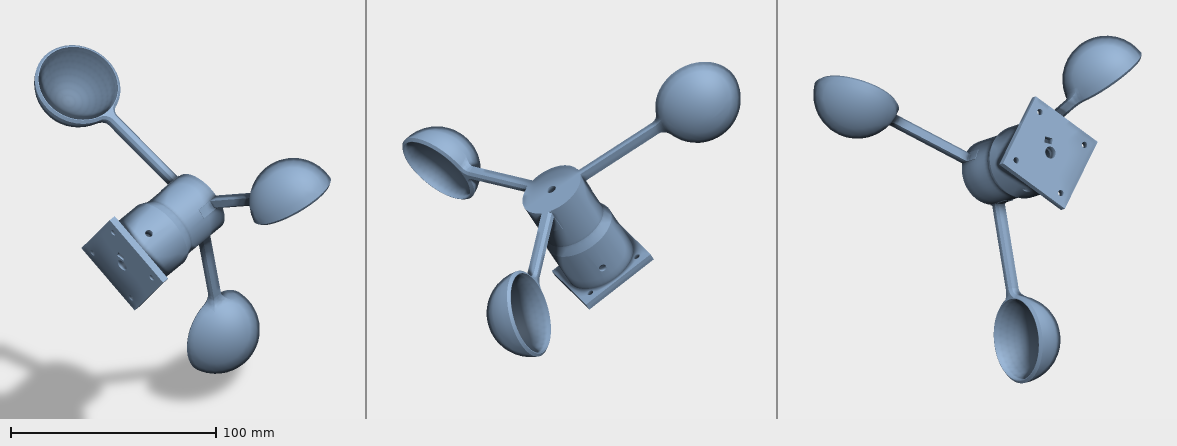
import cadquery as cq


ARM_COUNT = 3
FIRST_ARM_ANGLE = 40.8

ARM_WIDTH = 5.0
CUP_RADIUS = 21.5
CUP_WALL = 1.6
CUP_DISTANCE = 83.4
CUP_CENTER_Y = -3.5
FLARE_RADIUS = 4.5
RIM_CHAMFER = 1.3

FOOT_LENGTH = 12.5
FOOT_THICKNESS = 3.0
FOOT_FACE_DISTANCE = 16.2
GUSSET_REACH = 0.4
GUSSET_LENGTH = 1.3

HUB_BACK_RADIUS = 16.0
HUB_FRONT_RADIUS = 18.0
HUB_LENGTH = 52.3
BACK_BARREL_LENGTH = 24.0
TAPER_LENGTH = 5.0
SHAFT_BORE_DIAMETER = 4.7
SIDE_HOLE_DIAMETER = 3.8
SIDE_HOLE_DEPTH = 4.3
SIDE_HOLE_ANGLE = 71.5
SIDE_HOLE_Y = -43.3

PLATE_SIDE = 40.0
PLATE_THICKNESS = 3.6
PLATE_GAP = 0.5
PLATE_ANGLE = -28.0
MOUNT_HOLE_SPACING = 29.0
MOUNT_HOLE_DIAMETER = 3.0
PLATE_BORE_DIAMETER = 6.0
WINDOW_WIDTH = 4.3
WINDOW_HEIGHT = 3.0
WINDOW_X = -1.0
WINDOW_Z = 6.0
WINDOW_ANGLE = -7.0

SELECT_MARGIN = 0.2

AXIS_START = (0, 0, 0)
AXIS_END = (0, 1, 0)


def turned_to(body, angle):
    """Turn a body about the Y axis, from +X toward +Z."""
    return body.rotate(AXIS_START, AXIS_END, -angle)


def cylinder_along_y(diameter, start_y, length):
    """Cylinder on the Y axis that runs from start_y toward -Y."""
    return cq.Workplane("XZ", origin=(0, start_y, 0)).circle(diameter / 2).extrude(length)


def foot():
    """Foot of an arm that points along +X."""
    return cq.Workplane("XY").box(FOOT_THICKNESS, FOOT_LENGTH, ARM_WIDTH).translate(
        (FOOT_FACE_DISTANCE - FOOT_THICKNESS / 2, -FOOT_LENGTH / 2, 0)
    )


def gusset():
    """Small wedge between the arm and its foot, clear of the chamfer on the rim side."""
    width = ARM_WIDTH - RIM_CHAMFER
    return (
        cq.Workplane("XY", origin=(FOOT_FACE_DISTANCE, -ARM_WIDTH, ARM_WIDTH / 2))
        .lineTo(GUSSET_REACH, 0)
        .lineTo(0, -GUSSET_LENGTH)
        .close()
        .extrude(-width)
    )


def cup_arm():
    """Arm along +X with a half-ball cup that opens toward -Z."""
    rim_z = -ARM_WIDTH / 2
    cup_center = (CUP_DISTANCE, CUP_CENTER_Y, rim_z)
    below_rim = (
        cq.Workplane("XY", origin=cup_center)
        .rect(4 * CUP_RADIUS, 4 * CUP_RADIUS)
        .extrude(-2 * CUP_RADIUS)
    )
    ball = cq.Workplane("XY").sphere(CUP_RADIUS).translate(cup_center)
    bar_length = CUP_DISTANCE - FOOT_FACE_DISTANCE
    bar = cq.Workplane("XY").box(bar_length, ARM_WIDTH, ARM_WIDTH).translate(
        (FOOT_FACE_DISTANCE + bar_length / 2, -ARM_WIDTH / 2, 0)
    )
    arm = ball.cut(below_rim).union(bar)

    junction = cq.selectors.BoxSelector(
        (CUP_DISTANCE - CUP_RADIUS - SELECT_MARGIN, -ARM_WIDTH - SELECT_MARGIN, rim_z),
        (CUP_DISTANCE - CUP_RADIUS + ARM_WIDTH / 2, SELECT_MARGIN, -rim_z + SELECT_MARGIN),
    )
    arm = arm.edges(junction).fillet(FLARE_RADIUS)

    past_hub_end = cq.selectors.BoxSelector(
        (FOOT_FACE_DISTANCE + SELECT_MARGIN, CUP_CENTER_Y - 2 * CUP_RADIUS, rim_z - SELECT_MARGIN),
        (CUP_DISTANCE + 2 * CUP_RADIUS, CUP_CENTER_Y + 2 * CUP_RADIUS, rim_z + SELECT_MARGIN),
    )
    arm = arm.faces("<Z").edges(past_hub_end).chamfer(RIM_CHAMFER)

    hollow = cq.Workplane("XY").sphere(CUP_RADIUS - CUP_WALL).translate(cup_center)
    return arm.cut(hollow).union(foot()).union(gusset())


def hub():
    """Stepped hub with a shaft bore, slots for the arm feet and two opposite side holes."""
    taper_end = BACK_BARREL_LENGTH + TAPER_LENGTH
    body = (
        cq.Workplane("XY")
        .polyline([
            (0, 0),
            (HUB_BACK_RADIUS, 0),
            (HUB_BACK_RADIUS, -BACK_BARREL_LENGTH),
            (HUB_FRONT_RADIUS, -taper_end),
            (HUB_FRONT_RADIUS, -HUB_LENGTH),
            (0, -HUB_LENGTH),
        ])
        .close()
        .revolve(360, AXIS_START, AXIS_END)
    )
    body = turned_to(body, FIRST_ARM_ANGLE)
    body = body.cut(cylinder_along_y(SHAFT_BORE_DIAMETER, 0, HUB_LENGTH))

    slot_depth = HUB_FRONT_RADIUS - FOOT_FACE_DISTANCE + FOOT_THICKNESS
    slot = cq.Workplane("XY").box(slot_depth, FOOT_LENGTH, ARM_WIDTH).translate(
        (HUB_FRONT_RADIUS - slot_depth / 2, -FOOT_LENGTH / 2, 0)
    )
    for angle in arm_angles:
        body = body.cut(turned_to(slot, angle))

    side_hole = (
        cq.Workplane("YZ", origin=(HUB_FRONT_RADIUS - SIDE_HOLE_DEPTH, SIDE_HOLE_Y, 0))
        .circle(SIDE_HOLE_DIAMETER / 2)
        .extrude(2 * SIDE_HOLE_DEPTH)
    )
    for angle in (SIDE_HOLE_ANGLE, SIDE_HOLE_ANGLE + 180):
        body = body.cut(turned_to(side_hole, angle))
    return body


def mounting_plate():
    """Square plate with four mounting holes, a centre bore and a small rectangular window."""
    back_y = -HUB_LENGTH - PLATE_GAP
    plate = (
        cq.Workplane("XZ", origin=(0, back_y, 0))
        .rect(PLATE_SIDE, PLATE_SIDE)
        .extrude(PLATE_THICKNESS)
    )
    mount_holes = (
        cq.Workplane("XZ", origin=(0, back_y, 0))
        .rect(MOUNT_HOLE_SPACING, MOUNT_HOLE_SPACING, forConstruction=True)
        .vertices()
        .circle(MOUNT_HOLE_DIAMETER / 2)
        .extrude(PLATE_THICKNESS)
    )
    plate = turned_to(plate.cut(mount_holes), PLATE_ANGLE)
    window = turned_to(
        cq.Workplane("XZ", origin=(0, back_y, 0))
        .rect(WINDOW_WIDTH, WINDOW_HEIGHT)
        .extrude(PLATE_THICKNESS),
        WINDOW_ANGLE,
    ).translate((WINDOW_X, 0, WINDOW_Z))
    return plate.cut(cylinder_along_y(PLATE_BORE_DIAMETER, back_y, PLATE_THICKNESS)).cut(window)


arm_angles = [FIRST_ARM_ANGLE + i * 360 / ARM_COUNT for i in range(ARM_COUNT)]
cup_arms = [turned_to(cup_arm(), angle) for angle in arm_angles]

result = cq.Compound.makeCompound(
    [hub().val(), mounting_plate().val(), *[arm.val() for arm in cup_arms]]
)